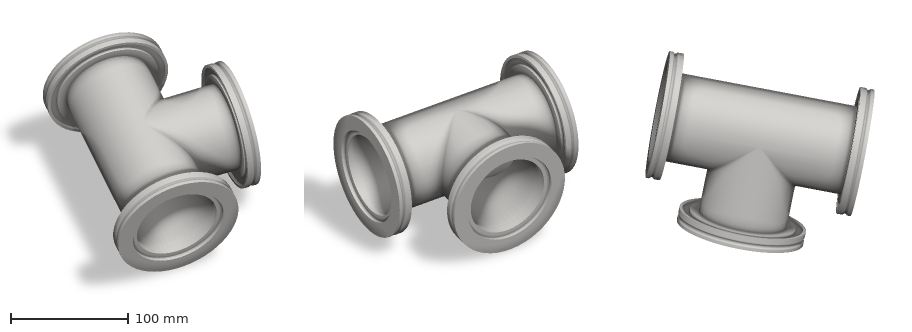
import cadquery as cq
import math

REACH = 88.9

BORE_DIA = 72.9
RUN_DIA = 76.5
BRANCH_DIA = 76.3
CROTCH_RADIUS = 2.1

FLANGE_DIA = 110.0
FLANGE_THICKNESS = 12.1
COUNTERBORE_DIA = 83.0
COUNTERBORE_DEPTH = 3.5
LIP_THICKNESS = 2.3
PIPE_SETBACK = COUNTERBORE_DEPTH + LIP_THICKNESS
HUB_DIA = 92.3
RIM_DIA = 104.9
BACK_RECESS_DEPTH = 2.5

GROOVE_CENTER = 5.0
GROOVE_WIDTH = 5.0
GROOVE_RADIUS = 1.5

PORTS = [
    (cq.Plane(origin=(-REACH, 0, 0), xDir=(0, 1, 0), normal=(-1, 0, 0)), RUN_DIA),
    (cq.Plane(origin=(REACH, 0, 0), xDir=(0, 1, 0), normal=(1, 0, 0)), RUN_DIA),
    (cq.Plane(origin=(0, REACH, 0), xDir=(1, 0, 0), normal=(0, 1, 0)), BRANCH_DIA),
]


def make_tee():
    """Filleted tee of equal bores; its ends stop at the flange lips."""
    leg = REACH - PIPE_SETBACK
    run = cq.Workplane("YZ").circle(RUN_DIA / 2).extrude(leg, both=True)
    branch = cq.Workplane("XZ").circle(BRANCH_DIA / 2).extrude(-leg)
    crotch_box = cq.selectors.BoxSelector(
        (-RUN_DIA, -RUN_DIA, -RUN_DIA), (RUN_DIA, RUN_DIA, RUN_DIA), boundingbox=True
    )
    outside = run.union(branch)
    crotch = outside.edges(crotch_box)
    outside = crotch.fillet(CROTCH_RADIUS)
    run_bore = cq.Workplane("YZ").circle(BORE_DIA / 2).extrude(leg, both=True)
    branch_bore = cq.Workplane("XZ").circle(BORE_DIA / 2).extrude(-leg)
    return outside.cut(run_bore).cut(branch_bore)


def make_clamp_groove(plane):
    """Ring with a rounded section, revolved about the flange axis."""
    rim = FLANGE_DIA / 2
    floor_half = GROOVE_WIDTH / 4
    blend_depth = GROOVE_RADIUS - math.sqrt(GROOVE_RADIUS**2 - floor_half**2)
    blend = rim - blend_depth
    front = -GROOVE_CENTER + GROOVE_WIDTH / 2
    front_blend = -GROOVE_CENTER + floor_half
    back_blend = -GROOVE_CENTER - floor_half
    back = -GROOVE_CENTER - GROOVE_WIDTH / 2
    profile_plane = cq.Plane(origin=plane.origin, xDir=plane.xDir, normal=-plane.yDir)
    section = (
        cq.Workplane(profile_plane)
        .moveTo(rim, front)
        .radiusArc((blend, front_blend), GROOVE_RADIUS)
        .radiusArc((blend, back_blend), -GROOVE_RADIUS)
        .radiusArc((rim, back), GROOVE_RADIUS)
        .close()
    )
    return section.revolve(360, (0, 0), (0, 1))


def make_flange(plane, pipe_dia):
    """Clamp flange with a lip-stopped socket for the pipe."""
    face = cq.Workplane(plane)
    back_face = face.workplane(offset=-FLANGE_THICKNESS)
    disc = face.circle(FLANGE_DIA / 2).circle(BORE_DIA / 2).extrude(-FLANGE_THICKNESS)
    counterbore = face.circle(COUNTERBORE_DIA / 2).extrude(-COUNTERBORE_DEPTH)
    socket = back_face.circle(pipe_dia / 2).extrude(FLANGE_THICKNESS - PIPE_SETBACK)
    back_recess = back_face.circle(RIM_DIA / 2).circle(HUB_DIA / 2).extrude(BACK_RECESS_DEPTH)
    return disc.cut(counterbore).cut(socket).cut(back_recess).cut(make_clamp_groove(plane))


tee = make_tee()
flanges = [make_flange(plane, pipe_dia) for plane, pipe_dia in PORTS]

result = cq.Compound.makeCompound([tee.val(), *[flange.val() for flange in flanges]])